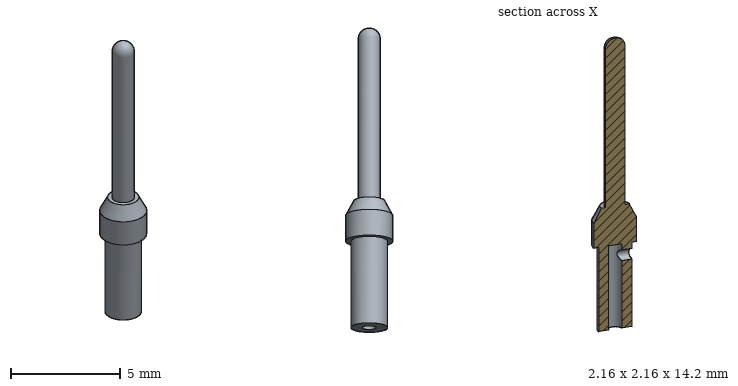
import cadquery as cq

total_height = 14.2

barrel_diameter = 1.69
collar_diameter = 2.16
cone_top_diameter = 1.43
pin_diameter = 1.03

collar_bottom_z = 4.1
cone_bottom_z = 5.32
cone_top_z = 6.01

bore_diameter = 0.64
bore_depth = collar_bottom_z

inspection_diameter = 0.5
inspection_z = 3.55


def turned_body():
    """Revolve the half profile: barrel, collar, cone and round-nosed pin."""
    barrel_radius = barrel_diameter / 2
    collar_radius = collar_diameter / 2
    pin_radius = pin_diameter / 2
    nose_start_z = total_height - pin_radius
    return (
        cq.Workplane("XZ")
        .moveTo(0, 0)
        .lineTo(barrel_radius, 0)
        .lineTo(barrel_radius, collar_bottom_z)
        .lineTo(collar_radius, collar_bottom_z)
        .lineTo(collar_radius, cone_bottom_z)
        .lineTo(cone_top_diameter / 2, cone_top_z)
        .lineTo(pin_radius, cone_top_z)
        .lineTo(pin_radius, nose_start_z)
        .radiusArc((0, total_height), -pin_radius)
        .close()
        .revolve(360, (0, 0), (0, 1))
    )


def wire_bore():
    """Blind bore rising from the bottom face."""
    return cq.Workplane("XY").circle(bore_diameter / 2).extrude(bore_depth)


def inspection_hole():
    """Radial cutter from the pin axis out through the +Y side of the barrel."""
    return (
        cq.Workplane("XZ")
        .center(0, inspection_z)
        .circle(inspection_diameter / 2)
        .extrude(-barrel_diameter)
    )


result = turned_body().cut(wire_bore()).cut(inspection_hole())